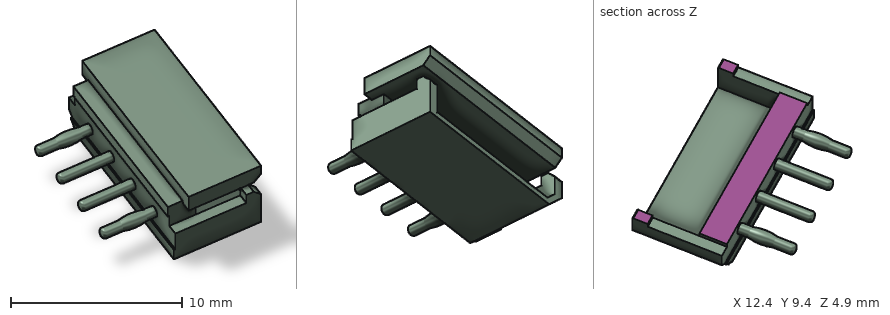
import cadquery as cq
import math

width = 12.4
height = 4.9
depth = 5.9

plate_thickness = 1.2
plate_depth = 4.9
plate_bottom = height - plate_thickness

arm_width = 0.7
arm_top = 2.2
lip_top = 2.9
lip_length = 1.0
lead_in = 0.5

inner_width = width - 2 * arm_width
bridge_top = 3.9
bridge_rear = depth - 4.0

floor_thickness = 0.4

recess_depth = 0.1
recess_bottom = 0.83
recess_top = 3.05

corner_bevel = 1.2
bevel_wall = floor_thickness

pin_count = 4
pin_pitch = 2.5
pin_height = 1.8
pin_radius = 0.35
pin_length = 3.5
tip_round = 0.2
bulge_radius = 0.45
bulge_start = 0.6
bulge_end = 2.2


def extrude_across(points, total_width):
    """Extrude a closed (Y, Z) outline symmetrically about the X mid-plane."""
    return cq.Workplane("YZ").polyline(points).close().extrude(total_width / 2, both=True)


def make_plate():
    return extrude_across(
        [
            (depth - plate_depth, height),
            (depth - plate_depth, plate_bottom),
            (depth - lead_in, plate_bottom),
            (depth, plate_bottom + lead_in),
            (depth, height),
        ],
        width,
    )


def make_base():
    """Full-width base whose arm profile ends in a bevelled latch lip."""
    return extrude_across(
        [
            (0, 0),
            (depth, 0),
            (depth, lip_top - lead_in),
            (depth - lead_in, lip_top),
            (depth - lip_length, lip_top),
            (depth - lip_length, arm_top),
            (0, arm_top),
        ],
        width,
    )


def make_bridge():
    return extrude_across(
        [
            (0, floor_thickness),
            (bridge_rear, floor_thickness),
            (bridge_rear, bridge_top),
            (0, bridge_top),
        ],
        inner_width,
    )


def make_cavity():
    """Space between the arms, open at the rear, with a wall kept behind the corner bevel."""
    space = extrude_across(
        [
            (bridge_rear, floor_thickness),
            (depth, floor_thickness),
            (depth, plate_bottom),
            (bridge_rear, plate_bottom),
        ],
        inner_width,
    )
    inner_bevel = corner_bevel + bevel_wall * math.sqrt(2)
    return space.cut(make_corner_wedge(inner_bevel))


def make_front_recess():
    return extrude_across(
        [
            (0, recess_bottom),
            (recess_depth, recess_bottom),
            (recess_depth, recess_top),
            (0, recess_top),
        ],
        width,
    )


def make_corner_wedge(leg):
    """Triangular prism with equal legs along the lower -X edge."""
    corner_x = -width / 2
    return (
        cq.Workplane("XZ")
        .polyline([(corner_x, 0), (corner_x + leg, 0), (corner_x, leg)])
        .close()
        .extrude(-depth)
    )


def make_pin(x, bulged):
    """Round pin pointing to -Y from the recess floor, with an optional press-fit bulge."""
    outline = cq.Workplane("XY").moveTo(0, bridge_rear).lineTo(pin_radius, bridge_rear)
    if bulged:
        outline = (
            outline.lineTo(pin_radius, -bulge_start)
            .threePointArc((bulge_radius, -(bulge_start + bulge_end) / 2), (pin_radius, -bulge_end))
        )
    pin = (
        outline.lineTo(pin_radius, -pin_length)
        .lineTo(0, -pin_length)
        .close()
        .revolve(360, (0, 0, 0), (0, 1, 0))
        .faces("<Y")
        .edges()
        .fillet(tip_round)
    )
    return pin.translate((x, 0, pin_height))


result = make_base().cut(make_cavity()).cut(make_corner_wedge(corner_bevel))
result = result.union(make_bridge()).union(make_plate()).cut(make_front_recess())
for index in range(pin_count):
    pin_x = (index - (pin_count - 1) / 2) * pin_pitch
    is_end_pin = index in (0, pin_count - 1)
    result = result.union(make_pin(pin_x, is_end_pin))